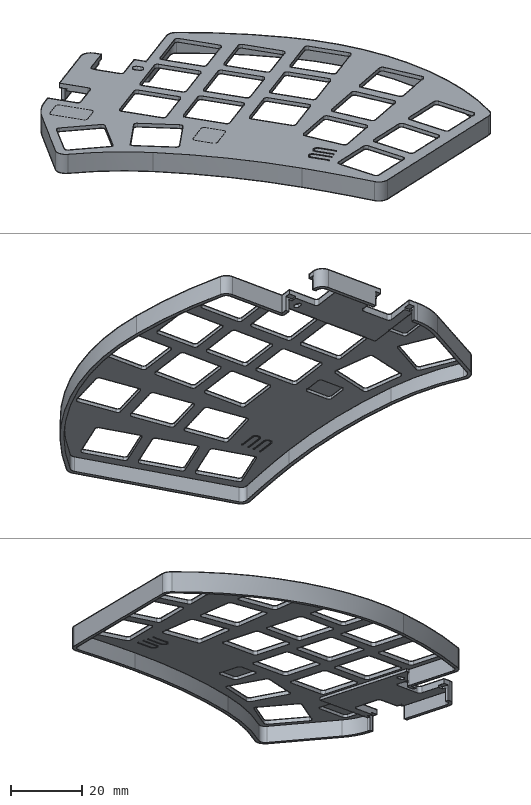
import cadquery as cq
import math

height = 6.0
plate_thickness = 1.2
wall = 1.1
plate_underside = height - plate_thickness

left_x = -60.4
step = (-41.9, 17.0)
shoulder = (step[0], 36.1)
upper_left_middle = (-25.2, 41.4)
upper_bend = (-9.7, 44.4)
upper_right_middle = (35.6, 37.7)
tip = (60.7, 18.8)
thumb_angle = 30.0
pinky_angle = 16.0
heel_y = -21.0
foot = (-45.9, -46.5)
toe_y = -32.1
toe = (tip[0] - (tip[1] - toe_y) * math.tan(math.radians(pinky_angle)), toe_y)
lower_left_middle = (-33.8, -40.0)
lower_bend = (-21.1, -35.7)
lower_crest = (21.7, -30.9)
corner_radius = 3.0
heel_radius = 16.9

key_size = 13.9
key_radius = 1.0
key_pitch = 17.0
keys_per_column = 3
key_columns = [
    (-32.0, 9.5, 0.0),
    (-13.9, 12.1, 0.0),
    (4.0, 17.3, 0.0),
    (25.0, 11.3, -8.0),
    (43.1, -3.5, -pinky_angle),
]
thumb_keys = [(-23.8, -25.2, 15.0), (-42.4, -33.2, thumb_angle)]

notch_width = 9.8
notch_depth = 9.5
notch_radius = 1.0
clearance_width = 13.2
clearance_top = height - 1.5
clearance_depth = 2 * wall
side_notch_y = -8.8
top_notch_x = -50.3

bay_thickness = 2.0
bay_right_x = -39.8
bay_front_y = -16.4

tab_width = 1.8
slit = 0.4
tab_left_x = 21.0
tab_right_x = 27.2
tab_ys = [-18.6, -22.6]

eyelet = (-42.6, 12.2)
eyelet_length = 2.5
eyelet_width = 1.5
eyelet_flare = 0.4
eyelet_flare_depth = 1.0

pocket_skin = 0.2
pocket_radius = 1.0
pockets = [(-51.2, -19.5, 11.2, 6.4), (-9.9, -20.0, 7.2, 8.5)]


def upright_box(x, y, length, width, bottom, top, radius=0.0, tilt=0.0):
    """Box centred on (x, y), with its upright edges rounded."""
    box = cq.Workplane("XY").box(length, width, top - bottom, centered=(True, True, False))
    if radius:
        box = box.edges("|Z").fillet(radius)
    return box.rotate((0, 0, 0), (0, 0, 1), tilt).translate((x, y, bottom))


def corner_edge(body, point):
    """Upright edge of the body that passes nearest to a point of the outline."""
    return body.edges("|Z").edges(cq.selectors.NearestToPointSelector((*point, height / 2)))


def outer_body():
    heel = (left_x, heel_y)
    far_corner = (left_x, step[1])
    body = (
        cq.Workplane("XY")
        .moveTo(*step)
        .lineTo(*far_corner)
        .lineTo(*heel)
        .lineTo(*foot)
        .threePointArc(lower_left_middle, lower_bend)
        .tangentArcPoint(lower_crest, relative=False)
        .tangentArcPoint(toe, relative=False)
        .lineTo(*tip)
        .threePointArc(upper_right_middle, upper_bend)
        .threePointArc(upper_left_middle, shoulder)
        .close()
        .extrude(height)
    )
    for corner in (far_corner, foot, toe, tip, shoulder):
        body = corner_edge(body, corner).fillet(corner_radius)
    return corner_edge(body, heel).fillet(heel_radius)


def hollow(body):
    """Space inside the walls, below the plate."""
    rim = body.faces("<Z").wires().val()
    inner = rim.offset2D(-wall)[0]
    return cq.Workplane("XY").add(inner).toPending().extrude(plate_underside)


def bay_space():
    """Box that fills the hollow just below the plate around the notches."""
    return (
        cq.Workplane("XY")
        .box(bay_right_x - left_x, step[1] - bay_front_y, bay_thickness, centered=False)
        .translate((left_x, bay_front_y, height - bay_thickness))
    )


def key_openings():
    spots = list(thumb_keys)
    for x, y, tilt in key_columns:
        slope = math.radians(tilt)
        for row in range(keys_per_column):
            along = (row - (keys_per_column - 1) / 2) * key_pitch
            spots.append((x - along * math.sin(slope), y + along * math.cos(slope), tilt))
    return [upright_box(x, y, key_size, key_size, 0, height, key_radius, tilt) for x, y, tilt in spots]


def notch(x, y, tilt):
    """Notch reaching inwards from an outer edge whose middle is at (x, y)."""
    opening = upright_box(0, 0, 2 * notch_depth, notch_width, 0, height, notch_radius)
    clearance = upright_box(0, 0, 2 * clearance_depth, clearance_width, 0, clearance_top)
    return opening.union(clearance).rotate((0, 0, 0), (0, 0, 1), tilt).translate((x, y, 0))


def tab_slit(y):
    """U-shaped slit around a tab that stays attached at its right end."""
    bend_x = tab_left_x + tab_width / 2

    def tongue(width):
        straight = upright_box((bend_x + tab_right_x) / 2, y, tab_right_x - bend_x, width, 0, height)
        bend = cq.Workplane("XY").center(bend_x, y).circle(width / 2).extrude(height)
        return straight.union(bend)

    return tongue(tab_width + 2 * slit).cut(tongue(tab_width))


def eyelet_hole():
    """Oblong hole with a mouth that flares out towards the top."""
    flare_angle = math.degrees(math.atan(eyelet_flare / eyelet_flare_depth))
    shaft = cq.Workplane("XY").slot2D(eyelet_length, eyelet_width).extrude(height)
    mouth = (
        cq.Workplane("XY")
        .workplane(offset=height)
        .slot2D(eyelet_length + 2 * eyelet_flare, eyelet_width + 2 * eyelet_flare)
        .extrude(-eyelet_flare_depth, taper=flare_angle)
    )
    return shaft.union(mouth).translate((*eyelet, 0))


result = outer_body()
result = result.cut(hollow(result).cut(bay_space()))
for opening in key_openings():
    result = result.cut(opening)
result = result.cut(notch(left_x, side_notch_y, 0)).cut(notch(top_notch_x, step[1], 90))
for tab_y in tab_ys:
    result = result.cut(tab_slit(tab_y))
result = result.cut(eyelet_hole())
for x, y, length, width in pockets:
    result = result.cut(upright_box(x, y, length, width, 0, height - pocket_skin, pocket_radius))